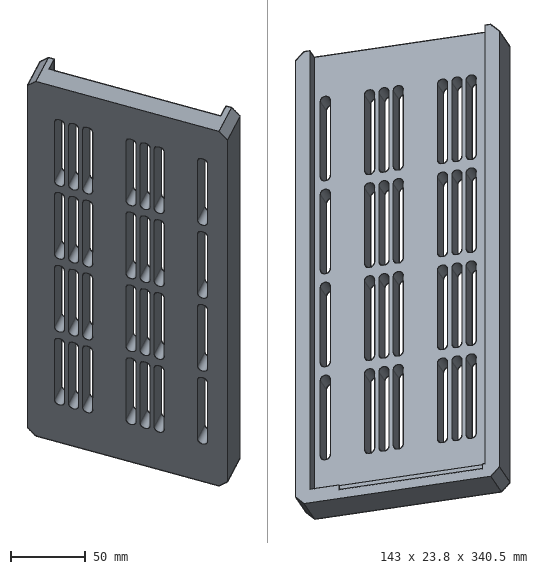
import cadquery as cq

width = 143.0
depth = 23.8
height = 340.5
corner_chamfer = 6.0

rail_width = 10.2
channel_depth = 10.0
bottom_wall = 10.2
channel_width = width - 2 * rail_width

step_left = -59.5
step_length = 100.5
step_depth = 1.0
step_height = 3.5

columns_per_group = (3, 3, 1)
group_pitch = 51.0
first_group_center_x = -38.5
first_to_third_column = 20.0
slot_pitch = first_to_third_column / 2
web_between_slots = 3.03
slot_width = slot_pitch - web_between_slots
slot_length = 63.5
row_count = 4
first_to_last_row = 210.0
row_pitch = first_to_last_row / (row_count - 1)
grid_center_z = 2.7


def make_body():
    """Rectangular block with its four upright corners cut at 45 degrees."""
    block = cq.Workplane("XY").box(width, depth, height)
    return block.edges("|Y").chamfer(corner_chamfer)


def back_pocket(left_x, bottom_z, pocket_width, pocket_depth, pocket_height):
    """Box that reaches in from the back face, placed by its lower left corner."""
    return (
        cq.Workplane("XY")
        .box(pocket_width, pocket_depth, pocket_height, centered=False)
        .translate((left_x, depth / 2 - pocket_depth, bottom_z))
    )


def slot_centers():
    first_column_x = first_group_center_x - slot_pitch
    top_row_z = grid_center_z + first_to_last_row / 2
    centers = []
    for group, column_count in enumerate(columns_per_group):
        for column in range(column_count):
            x = first_column_x + group * group_pitch + column * slot_pitch
            for row in range(row_count):
                centers.append((x, top_row_z - row * row_pitch))
    return centers


def make_slots():
    """Upright round-ended slots that pass through the whole depth."""
    return (
        cq.Workplane("XZ")
        .pushPoints(slot_centers())
        .slot2D(slot_length, slot_width, 90)
        .extrude(depth, both=True)
    )


wall_top_z = bottom_wall - height / 2
channel = back_pocket(-channel_width / 2, wall_top_z, channel_width, channel_depth, height - bottom_wall)
wall_step = back_pocket(step_left, wall_top_z - step_height, step_length, step_depth, step_height)

result = make_body().cut(channel).cut(wall_step).cut(make_slots())